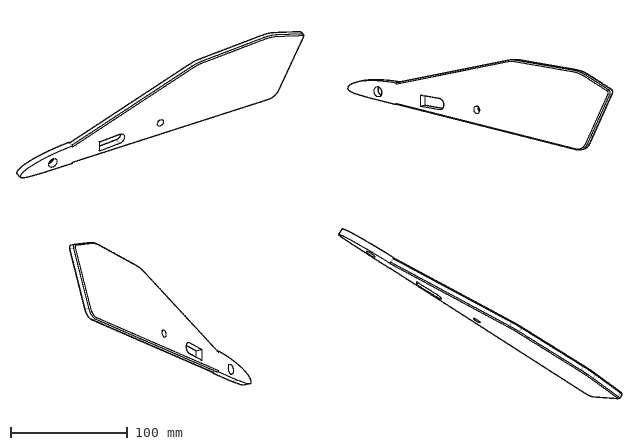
import cadquery as cq

thickness = 6.0

top_z = 50.0
joint_y = 52.7
joint_top = (joint_y, 12.3)
front_shoulder = (178.5, top_z)
rear_shoulder = (253.0, top_z)
rear_corner = (287.5, 37.2)
heel = (257.5, -20.0)

shoulder_radius = 34.3
rear_corner_radius = 3.0
heel_radius = 12.0
edge_chamfer = 1.1

nose_start = (21.8, -5.0)
lower_slope = (heel[1] - nose_start[1]) / (heel[0] - nose_start[0])
joint_bottom = (joint_y, nose_start[1] + lower_slope * (joint_y - nose_start[0]))

nose_fullness = 0.55

pivot_hole = (141.0, 1.0)
pivot_diameter = 6.3
handle_hole = (33.0, 1.7)
handle_hole_diameter = 8.5
slot_front_y = 80.0
slot_rear_y = 105.0
slot_center_z = 0.3
slot_height = 9.7


def side_sketch():
    """Sketch plane on the -X face, so each extrusion spans the full thickness."""
    return cq.Workplane("YZ", origin=(-thickness / 2, 0, 0))


def round_corner(body, corner, radius):
    """Round the through-thickness edge at one outline corner."""
    return body.edges(cq.selectors.NearestToPointSelector((0, *corner))).fillet(radius)


def make_blade():
    outline = [joint_top, front_shoulder, rear_shoulder, rear_corner, heel, joint_bottom]
    body = side_sketch().polyline(outline).close().extrude(thickness)
    roundings = [
        (front_shoulder, shoulder_radius),
        (rear_shoulder, shoulder_radius),
        (rear_corner, rear_corner_radius),
        (heel, heel_radius),
    ]
    for corner, radius in roundings:
        body = round_corner(body, corner, radius)
    rims = body.faces("<X or >X").edges("not(<Y)")
    return rims.chamfer(edge_chamfer)


def make_handle():
    """Tapered handle: quarter ellipse above, straight edge and curved nose below."""
    tip = (0, 0)
    pull = nose_start[0] * nose_fullness
    lower_control = (nose_start[0] - pull, nose_start[1] - lower_slope * pull)
    tip_control = (0, nose_start[1] * nose_fullness)
    return (
        side_sketch()
        .moveTo(*joint_bottom)
        .lineTo(*nose_start)
        .bezier([nose_start, lower_control, tip_control, tip])
        .ellipseArc(joint_y, joint_top[1], 90, 180, startAtCurrent=True, sense=-1)
        .close()
        .extrude(thickness)
    )


def make_hole(center, diameter):
    return side_sketch().center(*center).circle(diameter / 2).extrude(thickness)


def make_slot():
    """Slot with a square front end and a semicircular rear end."""
    half_height = slot_height / 2
    arc_start_y = slot_rear_y - half_height
    return (
        side_sketch()
        .moveTo(slot_front_y, slot_center_z - half_height)
        .lineTo(arc_start_y, slot_center_z - half_height)
        .threePointArc((slot_rear_y, slot_center_z), (arc_start_y, slot_center_z + half_height))
        .lineTo(slot_front_y, slot_center_z + half_height)
        .close()
        .extrude(thickness)
    )


result = (
    make_blade()
    .union(make_handle())
    .cut(make_hole(pivot_hole, pivot_diameter))
    .cut(make_hole(handle_hole, handle_hole_diameter))
    .cut(make_slot())
)